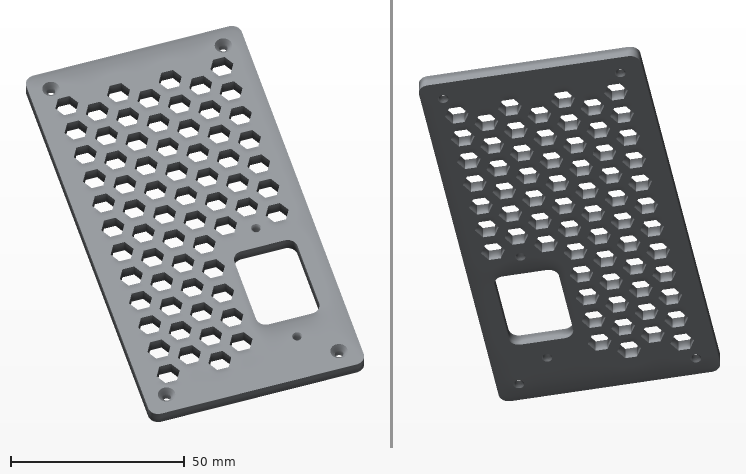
import cadquery as cq
import math

length = 125.0
width = 65.0
thickness = 4.0
corner_radius = 3.0

screw_spacing_x = 113.0
screw_spacing_y = 52.0
screw_head_diameter = 5.0
countersink_angle = 90.0

window_x = 28.0
window_y = 16.0
window_length = 27.0
window_width = 19.0
window_radius = 3.0
mount_spacing = 40.0

thread_minor_diameter = 2.5
thread_major_diameter = 3.1
thread_pitch = 0.5
thread_lead_in = 0.31

vent_across_flats = 6.0
vent_pitch = 9.0
vent_rows = 7
vents_in_long_row = 12
vents_beside_window = 7
rows_beside_window = 3
vent_across_corners = vent_across_flats / math.cos(math.pi / 6)
row_pitch = vent_pitch * math.cos(math.pi / 6)


def make_plate():
    plate = cq.Workplane("XY").box(length, width, thickness)
    return plate.edges("|Z").fillet(corner_radius)


def vent_centers():
    """Vent positions from the bottom row up; odd rows are one vent shorter."""
    centers = []
    for row in range(vent_rows):
        stagger = row % 2
        is_beside_window = row >= vent_rows - rows_beside_window
        full_count = vents_beside_window if is_beside_window else vents_in_long_row
        first_x = (stagger - vents_in_long_row + 1) * vent_pitch / 2
        y = (row - (vent_rows - 1) / 2) * row_pitch
        for column in range(full_count - stagger):
            centers.append((first_x + column * vent_pitch, y))
    return centers


def make_vents():
    """All vents; the polygon starts on X, so a quarter turn puts its corners on Y."""
    turned_centers = [(y, -x) for x, y in vent_centers()]
    vents = cq.Workplane("XY").pushPoints(turned_centers)
    vents = vents.polygon(6, vent_across_corners).extrude(thickness, both=True)
    return vents.rotate((0, 0, 0), (0, 0, 1), 90)


def make_window():
    window = cq.Workplane("XY").center(window_x, window_y)
    window = window.rect(window_length, window_width).extrude(thickness, both=True)
    return window.edges("|Z").fillet(window_radius)


def make_threaded_bore(start_z):
    """Solid with the shape of a threaded hole, from a crest at start_z to below the plate."""
    crest_radius = thread_minor_diameter / 2
    root_radius = thread_major_diameter / 2
    turns = math.ceil((start_z + thickness / 2) / thread_pitch)
    end_z = start_z - turns * thread_pitch
    profile = [(0, end_z), (0, start_z), (crest_radius, start_z)]
    for turn in range(turns):
        crest_z = start_z - turn * thread_pitch
        profile.append((root_radius, crest_z - thread_pitch / 2))
        profile.append((crest_radius, crest_z - thread_pitch))
    bore = cq.Workplane("XZ").polyline(profile).close()
    return bore.revolve(360, (0, 0, 0), (0, 1, 0))


def cut_threads(body, points, start_z):
    bore = make_threaded_bore(start_z)
    for x, y in points:
        body = body.cut(bore.translate((x, y, 0)))
    return body


def add_mount_holes(body):
    points = [(window_x + side * mount_spacing / 2, window_y) for side in (-1, 1)]
    return cut_threads(body, points, thickness / 2 + thread_lead_in)


def add_screw_holes(body):
    """Countersunk holes, threaded below the countersink."""
    points = [
        (side_x * screw_spacing_x / 2, side_y * screw_spacing_y / 2)
        for side_x in (-1, 1)
        for side_y in (-1, 1)
    ]
    holes = body.faces(">Z").workplane(origin=(0, 0, 0)).pushPoints(points)
    body = holes.cskHole(thread_minor_diameter, screw_head_diameter, countersink_angle)
    sink_radial_step = (screw_head_diameter - thread_minor_diameter) / 2
    sink_depth = sink_radial_step / math.tan(math.radians(countersink_angle / 2))
    return cut_threads(body, points, thickness / 2 - sink_depth)


plate = make_plate().cut(make_vents()).cut(make_window())
result = add_mount_holes(add_screw_holes(plate))